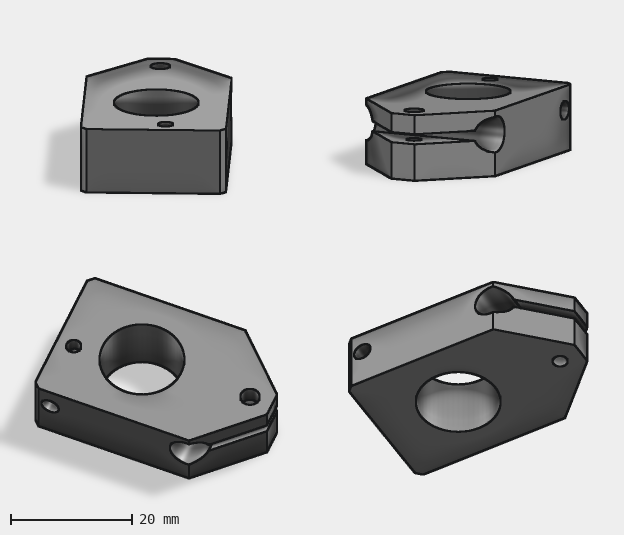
import cadquery as cq

side = 36.0
height = 11.0
flank_start = 19.05
clamp_corner_cut = 3.05
tail_flat = 1.4

bore_diameter = 14.0
screw_inset = 4.32
screw_clearance_diameter = 3.2
screw_thread_diameter = 2.5
set_screw_diameter = 2.5
set_screw_x = 27.45

rod_level = 7.0
clamp_rod_diameter = 6.0
clamp_rod_offset = 18.45
tail_rod_diameter = 3.1
tail_rod_offset = -16.13
slot_width = 1.7


def make_block():
    tail_start = flank_start + tail_flat
    outline = [
        (0, flank_start),
        (0, side - clamp_corner_cut),
        (clamp_corner_cut, side),
        (side - flank_start, side),
        (side, side - flank_start),
        (side, side - tail_start),
        (tail_start, 0),
        (flank_start, 0),
    ]
    return cq.Workplane("XY").polyline(outline).close().extrude(height)


def vertical_hole(x, y, diameter, bottom, top):
    return cq.Workplane("XY", origin=(x, y, bottom)).circle(diameter / 2).extrude(top - bottom)


def diagonal_hole(offset, diameter):
    """Cylinder through the block along (+X, +Y), on the line y - x = offset."""
    middle = ((side - offset) / 2, (side + offset) / 2, rod_level)
    plane = cq.Plane(origin=middle, xDir=(0, 0, 1), normal=(1, 1, 0))
    return cq.Workplane(plane).circle(diameter / 2).extrude(side, both=True)


def clamp_slot():
    """Saw cut from the clamp corner in to the axis of the clamped rod."""
    outline = [
        (-clamp_rod_offset, 0),
        (side, side + clamp_rod_offset),
        (-clamp_rod_offset, side + clamp_rod_offset),
    ]
    slot_bottom = rod_level - slot_width / 2
    return cq.Workplane("XY", origin=(0, 0, slot_bottom)).polyline(outline).close().extrude(slot_width)


screw_x = screw_inset
screw_y = side - screw_inset
set_screw_y = set_screw_x + tail_rod_offset

result = (
    make_block()
    .cut(vertical_hole(side / 2, side / 2, bore_diameter, 0, height))
    .cut(diagonal_hole(clamp_rod_offset, clamp_rod_diameter))
    .cut(clamp_slot())
    .cut(vertical_hole(screw_x, screw_y, screw_clearance_diameter, rod_level, height))
    .cut(vertical_hole(screw_x, screw_y, screw_thread_diameter, 0, rod_level))
    .cut(diagonal_hole(tail_rod_offset, tail_rod_diameter))
    .cut(vertical_hole(set_screw_x, set_screw_y, set_screw_diameter, rod_level, height))
)